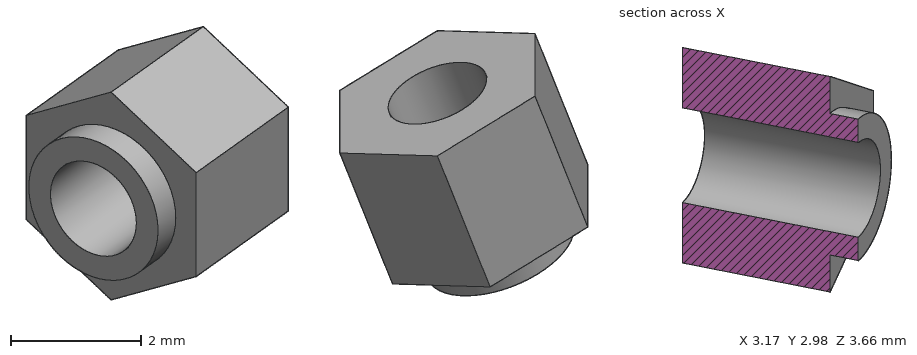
import cadquery as cq

corner_diameter = 3.66
total_length = 2.98
collar_length = 0.48
collar_diameter = 2.41
bore_diameter = 1.6
hex_length = total_length - collar_length

shoulder_plane = cq.Workplane("XZ")

hex_body = (
    shoulder_plane
    .transformed(rotate=(0, 0, 90))
    .polygon(6, corner_diameter)
    .extrude(-hex_length)
)

collar = shoulder_plane.circle(collar_diameter / 2).extrude(collar_length)

bore = (
    shoulder_plane
    .workplane(offset=-hex_length)
    .circle(bore_diameter / 2)
    .extrude(total_length)
)

result = hex_body.union(collar).cut(bore)